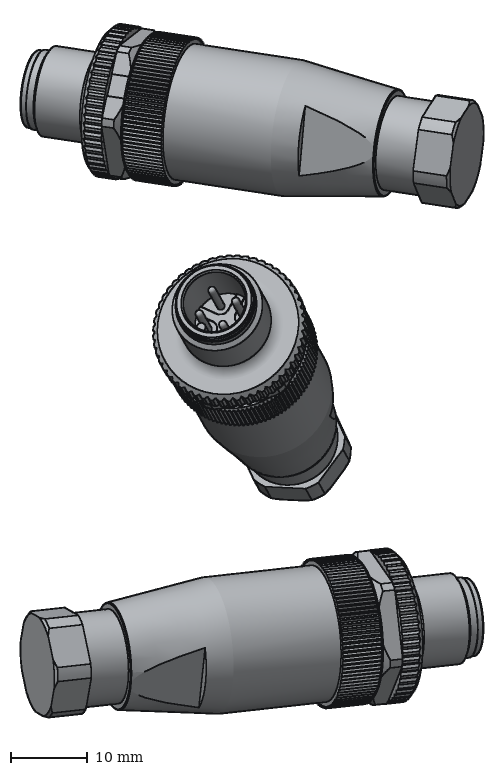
import cadquery as cq
import math


total_length = 60.0
lip_end = 0.9
collar_end = 1.9
thread_end = 8.6
flange_start = 9.95
grip_end = 12.95
hex_end = 15.4
knurl_end = 21.1
barrel_end = 36.0
taper_end = 49.55
nut_start = 55.0

lip_radius = 5.15
lip_chamfer = 0.2
collar_radius = 5.31
thread_radius = 6.0
thread_chamfer = 0.4
flare_radius = 7.3

bore_radius = 4.15
bore_depth = 8.4
bore_chamfer = 0.25
contact_count = 4
contact_angle = 16.5
contact_circle_radius = 2.5
contact_radius = 1.0 / 2
contact_tip = 2.0
web_width = 1.15
pocket_corner_radius = 1.15
pocket_depth = 0.3
key_radius = 0.6
key_circle_radius = 3.8
key_start = 0.4
key_angle = contact_angle + 3 * 180 / contact_count

grip_radius = 20.2 / 2
grip_tooth_count = 54
grip_tooth_depth = 0.3
grip_crest_share = 0.35
grip_chamfer = 0.7
knurl_radius = 9.85
knurl_tooth_count = 104
knurl_tooth_depth = 0.25
knurl_crest_share = 0.1
knurl_chamfer = 0.4

hex_corner_radius = 10.1
hex_across_flats = 18.0
hex_corner_angle = 40.2
hex_chamfer = 0.8
groove_width = 3.0
groove_depth = 0.2
groove_angle = hex_corner_angle - 90

barrel_radius = 9.0
taper_end_radius = 7.1
tail_edge_chamfer = 0.1
tail_flat_start = 39.6
tail_flat_angle = -74.6
neck_radius = 12.5 / 2
nut_corner_radius = 7.15
nut_across_flats = 13.2
nut_corner_angle = 23.4
nut_chamfer = 0.35


def place(solid, angle, radius=0):
    """Move a solid built at +Z out by radius, then turn it from +Z towards +Y."""
    return solid.translate((0, 0, radius)).rotate((0, 0, 0), (1, 0, 0), -angle)


def cylinder(start, end, radius):
    return cq.Workplane("YZ", origin=(start, 0, 0)).circle(radius).extrude(end - start)


def box(start, end, width, bottom, top):
    """Block centred on Y, from bottom to top along Z."""
    length = end - start
    height = top - bottom
    center = (start + length / 2, 0, bottom + height / 2)
    return cq.Workplane("XY").box(length, width, height).translate(center)


def toothed_prism(start, end, radius, tooth_count, depth, crest_share):
    """Prism with V grooves around it and one tooth crest centred on +Z."""
    pitch = 2 * math.pi / tooth_count
    half_crest = crest_share * pitch / 2
    corners = [(-half_crest, radius), (half_crest, radius), (pitch / 2, radius - depth)]
    points = []
    for tooth in range(tooth_count):
        for offset, reach in corners:
            angle = tooth * pitch + offset
            points.append((reach * math.sin(angle), reach * math.cos(angle)))
    return cq.Workplane("YZ", origin=(start, 0, 0)).polyline(points).close().extrude(end - start)


def rounded_hexagon(start, end, across_flats, corner_radius, corner_angle):
    """Hexagonal prism whose corners are cut back to a cylinder."""
    sharp_diameter = across_flats / math.cos(math.radians(30))
    prism = cq.Workplane("YZ", origin=(start, 0, 0)).polygon(6, sharp_diameter).extrude(end - start)
    prism = place(prism, corner_angle - 90)
    return prism.intersect(cylinder(start, end, corner_radius))


def plug_nose():
    neck_radius_at_thread = thread_radius - thread_chamfer
    relief_start = thread_end + thread_chamfer
    flare_length = flange_start - relief_start
    flare_rise = flare_radius - neck_radius_at_thread
    flare_arc = (flare_length**2 + flare_rise**2) / (2 * flare_length)
    return (
        cq.Workplane("XY")
        .moveTo(0, 0)
        .lineTo(0, lip_radius - lip_chamfer)
        .lineTo(lip_chamfer, lip_radius)
        .lineTo(lip_end, lip_radius)
        .lineTo(lip_end, collar_radius)
        .lineTo(collar_end, collar_radius)
        .lineTo(collar_end + thread_chamfer, thread_radius)
        .lineTo(thread_end, thread_radius)
        .lineTo(relief_start, neck_radius_at_thread)
        .radiusArc((flange_start, flare_radius), -flare_arc)
        .lineTo(flange_start, 0)
        .close()
        .revolve(360, (0, 0, 0), (1, 0, 0))
    )


def grip_ring():
    ring = toothed_prism(
        flange_start, grip_end, grip_radius, grip_tooth_count, grip_tooth_depth, grip_crest_share
    )
    envelope = cylinder(flange_start, grip_end, grip_radius).faces("<X").chamfer(grip_chamfer)
    return ring.intersect(envelope)


def wrench_hexagon():
    body = rounded_hexagon(grip_end, hex_end, hex_across_flats, hex_corner_radius, hex_corner_angle)
    envelope = cylinder(grip_end, hex_end, hex_corner_radius).faces(">X").chamfer(hex_chamfer)
    flat_height = hex_across_flats / 2
    groove = box(grip_end, hex_end, groove_width, flat_height - groove_depth, hex_corner_radius)
    return body.intersect(envelope).cut(place(groove, groove_angle))


def knurled_ring():
    ring = toothed_prism(
        hex_end, knurl_end, knurl_radius, knurl_tooth_count, knurl_tooth_depth, knurl_crest_share
    )
    envelope = cylinder(hex_end, knurl_end, knurl_radius).faces("<X").chamfer(knurl_chamfer)
    return ring.intersect(envelope)


def barrel_and_tail():
    """Straight barrel and conical tail with two opposite flats parallel to the axis."""
    body = (
        cq.Workplane("XY")
        .moveTo(knurl_end, 0)
        .lineTo(knurl_end, barrel_radius)
        .lineTo(barrel_end, barrel_radius)
        .lineTo(taper_end, taper_end_radius)
        .lineTo(taper_end, 0)
        .close()
        .revolve(360, (0, 0, 0), (1, 0, 0))
        .faces(">X")
        .chamfer(tail_edge_chamfer)
    )
    flat_cutter = box(tail_flat_start, taper_end, 2 * barrel_radius, taper_end_radius, barrel_radius)
    for angle in (tail_flat_angle, tail_flat_angle + 180):
        body = body.cut(place(flat_cutter, angle))
    return body


def cable_nut():
    nut = rounded_hexagon(nut_start, total_length, nut_across_flats, nut_corner_radius, nut_corner_angle)
    envelope = cylinder(nut_start, total_length, nut_corner_radius).faces(">X").chamfer(nut_chamfer)
    return nut.intersect(envelope)


def socket():
    """Bore with a chamfered mouth and a shallow pocket around each contact, leaving a cross of webs."""
    mouth_chamfer = (
        cq.Workplane("YZ")
        .circle(bore_radius + bore_chamfer)
        .workplane(offset=bore_chamfer)
        .circle(bore_radius)
        .loft()
    )
    cavity = cylinder(0, bore_depth, bore_radius).union(mouth_chamfer)

    pocket_end = bore_depth + pocket_depth
    quadrant = (
        cq.Workplane("YZ", origin=(bore_depth, 0, 0))
        .rect(bore_radius, bore_radius, centered=False)
        .extrude(pocket_depth)
        .translate((0, web_width / 2, web_width / 2))
        .edges("|X and <Y and <Z")
        .fillet(pocket_corner_radius)
        .intersect(cylinder(bore_depth, pocket_end, bore_radius))
    )
    for index in range(contact_count):
        angle = contact_angle - 45 + index * 360 / contact_count
        cavity = cavity.union(place(quadrant, angle))
    return cavity


def contact():
    """Round pin with a domed tip, rooted behind the socket floor."""
    root = bore_depth + 2 * pocket_depth
    return cylinder(contact_tip, root, contact_radius).faces("<X").fillet(0.9 * contact_radius)


def coding_key():
    """Round rib along the wall of the bore."""
    rib = cylinder(key_start, bore_depth + pocket_depth, key_radius)
    wall = cylinder(key_start, bore_depth + pocket_depth, lip_radius - lip_chamfer)
    return place(rib, key_angle, key_circle_radius).intersect(wall)


result = (
    plug_nose()
    .union(grip_ring())
    .union(wrench_hexagon())
    .union(knurled_ring())
    .union(barrel_and_tail())
    .union(cylinder(taper_end, nut_start, neck_radius))
    .union(cable_nut())
    .cut(socket())
    .union(coding_key())
)
for contact_index in range(contact_count):
    pin_angle = contact_angle + contact_index * 360 / contact_count
    result = result.union(place(contact(), pin_angle, contact_circle_radius))